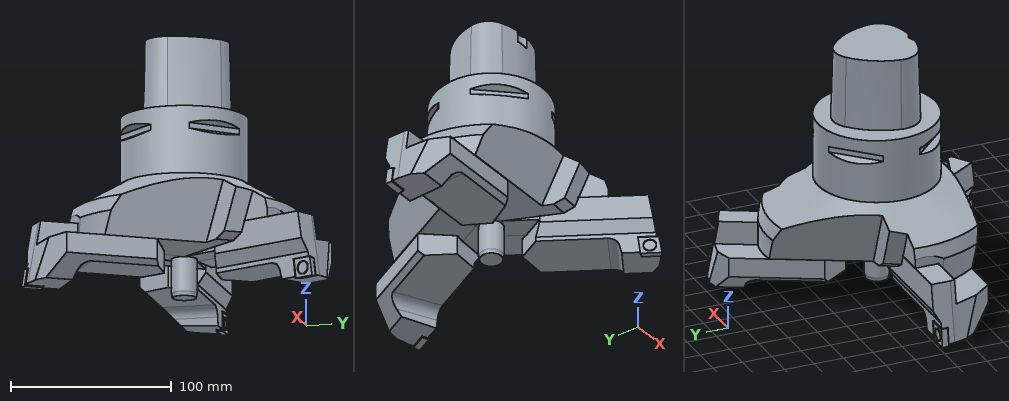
import cadquery as cq
import math

ARM_ANGLES = (180.0, 63.0, -57.0)
FAR = 133.4

top_z = 163.0
flange_top_z = 115.3
flange_bottom_z = 72.5
rim_z = 54.1
belly_z = 44.4
housing_bottom_z = 26.0

flange_radius = 40.0
rim_radius = 71.8
belly_radius = 74.7
skirt_radius = 74.3
facet_reach = 73.5

pin_radius = 8.0
pin_bottom_z = 1.3
pin_tip_inset = 0.5
pin_tip_height = 2.9

lobe_reach = 30.0
flat_reach = 25.3
lobe_radius = 16.4
shank_taper = math.degrees(math.atan(1 / 40))
notch_depth = 8.4
notch_radius = 6.7
notch_axis = 28.8

groove_count = 4
first_groove_angle = 45
groove_z = 102.7
groove_floor = 35.6
groove_floor_width = 3.6
groove_mouth_width = 8.4

rake_side = -6.5
pocket_lean = math.tan(math.radians(20))
shoulder_side = -16.4
shoulder_front_x = 59.6
shoulder_back_x = 54.0
arm_back = 43.8
relief_top_z = 34.7
relief_lean = 1.5

cartridge_back = 36.0
cartridge_top_z = 41.5
step_side = 9.5
seat_outer_z = 29.3
tip_x = 18.3
tip_y = (cartridge_back + rake_side) / 2
tip_shoulder_x = tip_x + (cartridge_back - tip_y) * math.tan(math.radians(30))
lower_rake_side = -2.0
rake_step_top_z = 24.0
rake_step_bottom_z = 15.8
leg_bottom_z = 1.1
leg_bottom_rise = 1.1
back_bevel_z = 16.4
back_bevel_side = 22.5
end_top_x = 98.7
end_lean = -0.17
end_bend_side = 6.3
end_bend_slope = 0.17
corner_cut_x = 90.3
corner_cut_slope = 0.66
underside_z = 12.8
leg_inner_top_x = 78.9
leg_inner_lean = -0.23
leg_fillet = 8.0

insert_top_z = 12.5
insert_face = -2.5
insert_thickness = 4.8
insert_relief = 7.0
insert_outline = [(91.7, insert_top_z), (105.0, insert_top_z), (106.9, 0), (93.2, 0)]
screw_x = 99.0
screw_z = 6.1
screw_recess_diameter = 8.2
screw_recess_depth = 0.5


def turned(point, angle):
    """The point turned about the origin by an angle in degrees."""
    c = math.cos(math.radians(angle))
    s = math.sin(math.radians(angle))
    return (point[0] * c - point[1] * s, point[0] * s + point[1] * c)


def placed(shape, angle):
    """A shape from an arm's own frame, turned into its place."""
    turn = cq.Location(cq.Vector(), cq.Vector(0, 0, 1), angle)
    return cq.Workplane(shape.val().moved(turn))


def leaning_prism(outline, outline_z, lean, bottom_z, height):
    """A prism whose outline holds at outline_z and moves along X by lean per unit of height."""
    shift = lean * (bottom_z - outline_z)
    points = [cq.Vector(x + shift, y, bottom_z) for x, y in outline]
    wire = cq.Wire.makePolygon(points, close=True)
    return cq.Workplane(cq.Solid.extrudeLinear(wire, [], cq.Vector(lean * height, 0, height)))


def turned_body():
    profile = [
        (0, housing_bottom_z),
        (skirt_radius, housing_bottom_z),
        (belly_radius, belly_z),
        (rim_radius, rim_z),
        (flange_radius, flange_bottom_z),
        (flange_radius, flange_top_z),
        (0, flange_top_z),
    ]
    return cq.Workplane("XZ").polyline(profile).close().revolve(360, (0, 0), (0, 1))


def pilot_pin():
    profile = [
        (0, pin_bottom_z),
        (pin_radius - pin_tip_inset, pin_bottom_z),
        (pin_radius, pin_bottom_z + pin_tip_height),
        (pin_radius, housing_bottom_z),
        (0, housing_bottom_z),
    ]
    return cq.Workplane("XZ").polyline(profile).close().revolve(360, (0, 0), (0, 1))


def shank():
    """Three lobe arcs joined tangentially by three flatter arcs, tapering upward."""
    lobe_center = lobe_reach - lobe_radius
    gap = flat_reach - lobe_radius
    offset = (lobe_center**2 - gap**2) / (2 * gap - lobe_center)
    flat_radius = flat_reach + offset
    joint_angle = math.atan2(lobe_center * math.sin(math.radians(60)), offset + lobe_center / 2)
    joint_x = flat_radius * math.sin(joint_angle)
    joint_y = offset - flat_radius * math.cos(joint_angle)

    outline = cq.Workplane("XY").workplane(offset=flange_top_z).moveTo(-joint_x, joint_y)
    for angle in (0, 120, 240):
        outline = outline.threePointArc(
            turned((0, -flat_reach), angle), turned((joint_x, joint_y), angle)
        )
        outline = outline.threePointArc(
            turned((0, lobe_reach), angle - 120), turned((-joint_x, joint_y), angle + 120)
        )
    body = outline.close().extrude(top_z - flange_top_z, taper=shank_taper)
    notch = (
        cq.Workplane("XY")
        .workplane(offset=top_z - notch_depth)
        .center(0, -notch_axis)
        .circle(notch_radius)
        .extrude(notch_depth)
    )
    return body.cut(notch)


def gripper_groove():
    """A straight trapezoidal groove across the +X side of the flange."""
    depth = flange_radius - groove_floor
    half_floor = groove_floor_width / 2
    half_open = groove_mouth_width - half_floor
    return (
        cq.Workplane("XZ")
        .polyline([
            (groove_floor, groove_z - half_floor),
            (flange_radius + depth, groove_z - half_open),
            (flange_radius + depth, groove_z + half_open),
            (groove_floor, groove_z + half_floor),
        ])
        .close()
        .extrude(flange_radius, both=True)
    )


def chip_pocket(pitch):
    """Space ahead of an arm, up to the back of the arm that lies clockwise by the pitch."""
    back_near = turned((0, arm_back), -pitch)
    back_far = turned((FAR, arm_back), -pitch)
    along = (shoulder_side - back_near[1]) / (back_far[1] - back_near[1])
    corner_x = back_near[0] + along * (back_far[0] - back_near[0])
    outline = [
        (FAR, rake_side),
        (shoulder_front_x, rake_side),
        (shoulder_back_x, shoulder_side),
        (corner_x, shoulder_side),
        back_far,
        (FAR, back_far[1]),
    ]
    return leaning_prism(outline, rim_z, pocket_lean, 0, flange_bottom_z)


def shoulder_relief():
    """Undercut below the shoulder of a chip pocket."""
    outline = [
        (FAR, rake_side),
        (shoulder_front_x, rake_side),
        (shoulder_back_x, shoulder_side),
        (FAR, shoulder_side),
    ]
    drop = pocket_lean * (relief_top_z - rim_z)
    outline = [(x + drop, y) for x, y in outline]
    height = relief_top_z - housing_bottom_z
    return leaning_prism(outline, relief_top_z, relief_lean, housing_bottom_z, height)


def seat_z(y):
    slope = (seat_outer_z - housing_bottom_z) / (cartridge_back - step_side)
    return housing_bottom_z + slope * (y - step_side)


def seat_cut(pitch):
    """Sloping underside of an arm, up to the rake of the arm that lies anticlockwise."""
    slab = (
        cq.Workplane("YZ")
        .polyline([(step_side, 0), (step_side, seat_z(step_side)), (FAR, seat_z(FAR)), (FAR, 0)])
        .close()
        .extrude(FAR, both=True)
    )
    ahead = cq.Workplane("XY").box(2 * FAR, FAR, FAR).translate((0, rake_side - FAR / 2, 0))
    return slab.intersect(placed(ahead, pitch))


def arm_end_facet():
    return cq.Workplane("XY").box(FAR, FAR, FAR).translate((facet_reach + FAR / 2, 0, 0))


def make_cartridge():
    section = [
        (rake_side, rake_step_top_z),
        (rake_side, cartridge_top_z),
        (step_side, cartridge_top_z),
        (step_side, seat_z(step_side)),
        (cartridge_back, seat_z(cartridge_back)),
        (cartridge_back, back_bevel_z),
        (back_bevel_side, leg_bottom_z + leg_bottom_rise),
        (lower_rake_side, leg_bottom_z),
        (lower_rake_side, rake_step_bottom_z),
    ]
    bar = cq.Workplane("YZ").polyline(section).close().extrude(FAR)

    cut_depth = cartridge_back - rake_side
    plan = [
        (tip_x, tip_y),
        (tip_shoulder_x, cartridge_back),
        (corner_cut_x, cartridge_back),
        (corner_cut_x + corner_cut_slope * cut_depth, rake_side),
        (tip_shoulder_x, rake_side),
    ]
    bar = bar.intersect(cq.Workplane("XY").polyline(plan).close().extrude(cartridge_top_z))

    bend_run = cartridge_back - end_bend_side
    beyond_end = [
        (end_top_x, rake_side),
        (end_top_x, end_bend_side),
        (end_top_x - end_bend_slope * bend_run, cartridge_back),
        (FAR, cartridge_back),
        (FAR, rake_side),
    ]
    bar = bar.cut(leaning_prism(beyond_end, cartridge_top_z, end_lean, 0, cartridge_top_z))

    clearance = (
        cq.Workplane("XZ")
        .polyline([
            (0, 0),
            (0, underside_z),
            (leg_inner_top_x, underside_z),
            (leg_inner_top_x - leg_inner_lean * underside_z, 0),
        ])
        .close()
        .extrude(FAR, both=True)
        .edges(cq.selectors.NearestToPointSelector((leg_inner_top_x, 0, underside_z)))
        .fillet(leg_fillet)
    )
    return bar.cut(clearance)


def insert_blank():
    return (
        cq.Workplane("XZ", origin=(0, insert_face, 0))
        .polyline(insert_outline)
        .close()
        .extrude(-insert_thickness, taper=insert_relief)
    )


def make_insert():
    recess = (
        cq.Workplane("XZ", origin=(screw_x, insert_face, screw_z))
        .circle(screw_recess_diameter / 2)
        .extrude(-screw_recess_depth)
    )
    return insert_blank().cut(recess)


cartridge = make_cartridge().cut(insert_blank())
insert = make_insert()
cartridges = [placed(cartridge, angle) for angle in ARM_ANGLES]
inserts = [placed(insert, angle) for angle in ARM_ANGLES]

housing = turned_body()
for i, angle in enumerate(ARM_ANGLES):
    pitch_ahead = (angle - ARM_ANGLES[(i + 1) % len(ARM_ANGLES)]) % 360
    pitch_behind = (ARM_ANGLES[i - 1] - angle) % 360
    housing = housing.cut(placed(chip_pocket(pitch_ahead), angle))
    housing = housing.cut(placed(shoulder_relief(), angle))
    housing = housing.cut(placed(seat_cut(pitch_behind), angle))
    housing = housing.cut(placed(arm_end_facet(), angle))
    housing = housing.cut(cartridges[i])
for i in range(groove_count):
    housing = housing.cut(placed(gripper_groove(), first_groove_angle + 360 / groove_count * i))
housing = housing.union(shank()).union(pilot_pin())

result = cq.Compound.makeCompound([
    housing.val(),
    *[body.val() for body in cartridges],
    *[body.val() for body in inserts],
])